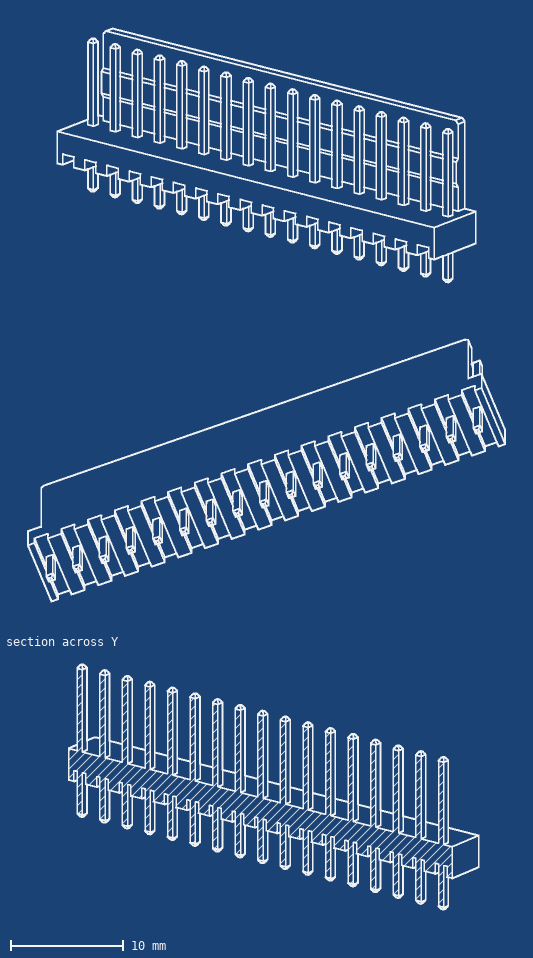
import cadquery as cq


pin_count = 17
pitch = 2.54
pin_width = 0.64
pin_tip_chamfer = 0.2
pin_tip_height = 0.3
pin_length = 14.3
tail_length = 3.25

base_length = pin_count * pitch
base_depth = 5.9
base_height = 3.0
back_y = 2.4
slot_width = pitch / 2
slot_depth = 1.0

overall_height = 14.7
wall_length = (pin_count - 1) * pitch
wall_thickness = 0.95
wall_top = overall_height - tail_length
wall_corner_chamfer = 0.3

ridge_height = 0.25
ridge_top_drop = 3.52
ridge_width = 2.7
ridge_upper_slope = 0.27
ridge_lower_slope = 0.4

pin_positions = [(i - (pin_count - 1) / 2) * pitch for i in range(pin_count)]


def make_base():
    """Rectangular base with a slot across its underside at every pin."""
    base = cq.Workplane("XY").box(base_length, base_depth, base_height, centered=(True, False, False))
    base = base.translate((0, back_y - base_depth, 0))
    slots = (
        cq.Workplane("XY")
        .pushPoints([(x, back_y - base_depth / 2) for x in pin_positions])
        .rect(slot_width, base_depth)
        .extrude(slot_depth)
    )
    return base.cut(slots)


def make_wall():
    """Upright wall, flush with the back of the base, with a sloped ridge on its front face."""
    front_y = back_y - wall_thickness
    ridge_y = front_y - ridge_height
    ridge_top = wall_top - ridge_top_drop
    ridge_bottom = ridge_top - ridge_width
    profile = [
        (back_y, base_height),
        (front_y, base_height),
        (front_y, ridge_bottom),
        (ridge_y, ridge_bottom + ridge_lower_slope),
        (ridge_y, ridge_top - ridge_upper_slope),
        (front_y, ridge_top),
        (front_y, wall_top),
        (back_y, wall_top),
    ]
    wall = cq.Workplane("YZ").polyline(profile).close().extrude(wall_length / 2, both=True)
    top_corners = wall.faces(">Z").edges("|Y")
    return top_corners.chamfer(wall_corner_chamfer)


def make_pin():
    """Square pin tapered at both tips."""
    tip_width = pin_width - 2 * pin_tip_chamfer
    shank_bottom = -tail_length + pin_tip_height
    shank_length = pin_length - 2 * pin_tip_height
    pin = cq.Workplane("XY").workplane(offset=shank_bottom).rect(pin_width, pin_width).extrude(shank_length)
    for shank_end, direction in ((shank_bottom, -1), (shank_bottom + shank_length, 1)):
        tip = (
            cq.Workplane("XY")
            .workplane(offset=shank_end)
            .rect(pin_width, pin_width)
            .workplane(offset=direction * pin_tip_height)
            .rect(tip_width, tip_width)
            .loft(ruled=True)
        )
        pin = pin.union(tip)
    return pin


result = make_base().union(make_wall())
pin = make_pin()
for x in pin_positions:
    result = result.union(pin.translate((x, 0, 0)))